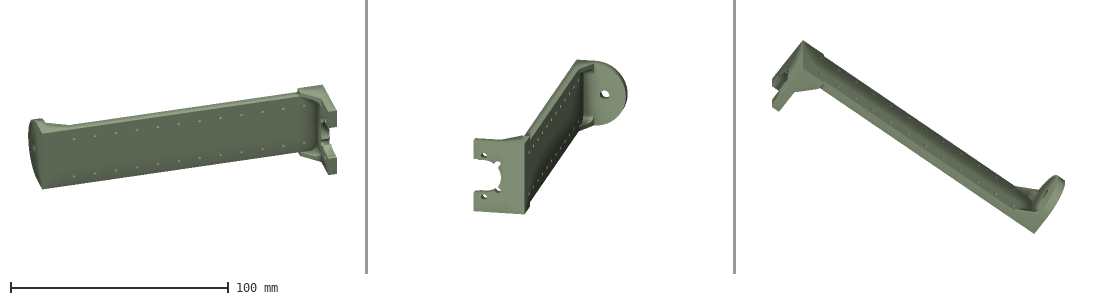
import cadquery as cq

length = 135.0
thickness = 4.0
spine_width = 30.0
gusset_wall = 2.0
gusset_fillet = 3.2

front_reach = 20.0
front_tab_radius = spine_width / 2
pivot_diameter = 4.5
pivot_x = -10.0
front_gusset_rise = front_reach - front_tab_radius
front_gusset_run = 10.0

rear_reach = 24.0
rear_width = spine_width + 2 * gusset_wall
rear_gusset_leg = 8.0
rear_face_y = length - thickness

seat_x = 19.0
seat_radius = 8.0
seat_mouth_width = 16.5
seat_mouth_depth = 2.2
screw_diameter = 2.7
screw_circle_radius = 10.0
relief_circle_radius = 9.2
relief_width = 2.7

grid_diameter = 1.9
grid_columns = 12
grid_pitch = 10.0
grid_row_spacing = 20.0
grid_first_y = 15.0


def block(x_min, x_max, y_min, y_max, width):
    """Box between the given X and Y limits, centred on Z = 0."""
    return cq.Workplane("XY").box(
        x_max - x_min, y_max - y_min, width, centered=(False, False, True)
    ).translate((x_min, y_min, 0))


def gusset_pair(corners, pocket, filleted_edges, width):
    """Triangular gusset hollowed by a pocket, leaving a wall along each side."""
    wedge = cq.Workplane("XY").polyline(corners).close().extrude(width / 2, both=True)
    return wedge.cut(pocket.edges(filleted_edges).fillet(gusset_fillet))


def rod_along_y(x, z, diameter, y_min, y_max):
    """Cylinder along Y used to cut a hole through a tab."""
    return (
        cq.Workplane("XZ", origin=(0, y_min, 0))
        .center(x, z)
        .circle(diameter / 2)
        .extrude(y_min - y_max)
    )


spine = block(0, thickness, 0, length, spine_width)
rear_block_y = rear_face_y - rear_gusset_leg
spine = spine.union(block(0, thickness, rear_block_y, length, rear_width))

front_tab = (
    cq.Workplane("XZ")
    .moveTo(thickness, -front_tab_radius)
    .lineTo(thickness, front_tab_radius)
    .lineTo(-front_gusset_rise, front_tab_radius)
    .threePointArc((-front_reach, 0), (-front_gusset_rise, -front_tab_radius))
    .close()
    .extrude(-thickness)
)
front_gussets = gusset_pair(
    [(0, thickness), (-front_gusset_rise, thickness), (0, thickness + front_gusset_run)],
    block(
        -front_gusset_rise, 0, thickness, thickness + 2 * front_gusset_run,
        spine_width - 2 * gusset_wall,
    ),
    "|X and <Y",
    spine_width,
)

rear_tab = block(0, rear_reach, rear_face_y, length, rear_width)
rear_gussets = gusset_pair(
    [
        (thickness, rear_face_y),
        (thickness + rear_gusset_leg, rear_face_y),
        (thickness, rear_block_y),
    ],
    block(
        thickness, thickness + rear_gusset_leg, rear_face_y - 2 * rear_gusset_leg, rear_face_y,
        rear_width - 2 * gusset_wall,
    ),
    "|X and >Y",
    rear_width,
)

result = spine.union(front_tab).union(front_gussets).union(rear_tab).union(rear_gussets)

result = result.cut(rod_along_y(pivot_x, 0, pivot_diameter, 0, thickness))

result = result.cut(rod_along_y(seat_x, 0, 2 * seat_radius, rear_face_y, length))
result = result.cut(block(seat_x, rear_reach, rear_face_y, length, 2 * seat_radius))
result = result.cut(
    block(rear_reach - seat_mouth_depth, rear_reach, rear_face_y, length, seat_mouth_width)
)

for side in (-1, 1):
    screw = rod_along_y(seat_x, side * screw_circle_radius, screw_diameter, rear_face_y, length)
    result = result.cut(screw)

relief_length = relief_circle_radius + relief_width / 2
for angle in (135, 225):
    relief = (
        cq.Workplane("XZ", origin=(0, rear_face_y, 0))
        .center(seat_x, 0)
        .transformed(rotate=(0, 0, angle))
        .center(relief_length / 2, 0)
        .slot2D(relief_length, relief_width)
        .extrude(-thickness)
    )
    result = result.cut(relief)

grid_centre_y = grid_first_y + (grid_columns - 1) * grid_pitch / 2
grid_holes = (
    cq.Workplane("YZ", origin=(0, grid_centre_y, 0))
    .rarray(grid_pitch, grid_row_spacing, grid_columns, 2)
    .circle(grid_diameter / 2)
    .extrude(thickness)
)
result = result.cut(grid_holes)